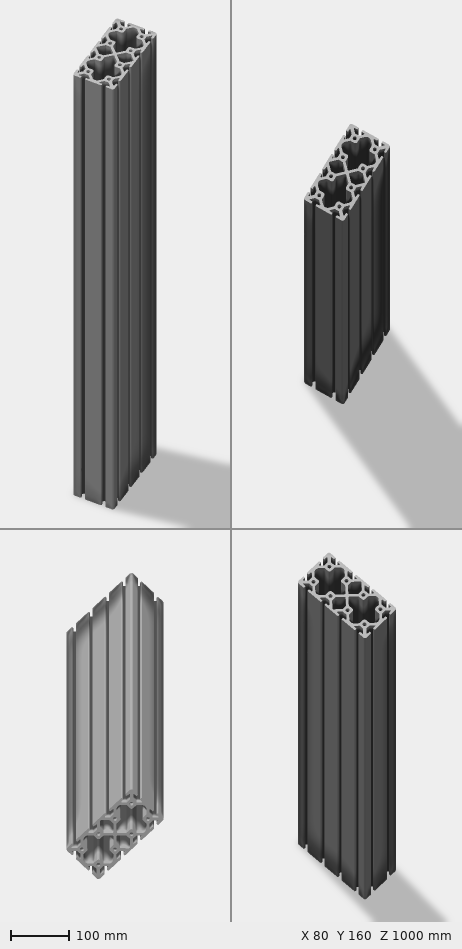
import cadquery as cq
import math

columns = 2
rows = 4
module = 40.0
length = 1000.0
corner_radius = 4.0

mouth_width = 8.0
mouth_radius = 1.5
inner_mouth_radius = 0.5
lip_edge_thickness = 4.0
lip_root_thickness = 4.5
slot_width = 21.0

core_width = 15.6
core_corner_radius = 4.0
bore_diameter = 6.8
web_thickness = 4.8
corner_web_thickness = 6.0

large_chamber_radius = 8.0
small_chamber_radius = 2.0
crossing_radius = 2.0

width_x = columns * module
width_y = rows * module
slot_depth = (module - core_width) / 2
web_offset = web_thickness / math.sqrt(2)
slot_floor_half = core_width / 2 - web_offset
slot_side_depth = module / 2 - web_offset - slot_width / 2

column_places = [module * (i - (columns - 1) / 2) for i in range(columns)]
row_places = [module * (i - (rows - 1) / 2) for i in range(rows)]
cores = [(x, y) for x in column_places for y in row_places]
corner_cores = [(x, y) for x in column_places for y in (row_places[0], row_places[-1])]


def bar(size_x, size_y):
    """Full-length rectangular bar centred on the Z axis."""
    return cq.Workplane("XY").rect(size_x, size_y).extrude(length)


def turned(solid, angle):
    """The solid turned about the Z axis by an angle in degrees."""
    return solid.rotate((0, 0, 0), (0, 0, 1), angle)


def diamond(half_diagonal, x, y):
    """Full-length prism whose square section stands on its corner, centred on (x, y)."""
    h = half_diagonal
    section = cq.Workplane("XY").center(x, y).polyline([(h, 0), (0, h), (-h, 0), (0, -h)])
    return section.close().extrude(length)


def t_slot():
    """Slot that opens towards +Y, with its mouth centred on the origin."""
    mouth = mouth_width / 2
    half = slot_width / 2
    flare = mouth + mouth_radius
    slot = (
        cq.Workplane("XY")
        .moveTo(-flare, 0)
        .radiusArc((-mouth, -mouth_radius), mouth_radius)
        .lineTo(-mouth, -lip_edge_thickness)
        .lineTo(-half, -lip_root_thickness)
        .lineTo(-half, -slot_side_depth)
        .lineTo(-slot_floor_half, -slot_depth)
        .lineTo(slot_floor_half, -slot_depth)
        .lineTo(half, -slot_side_depth)
        .lineTo(half, -lip_root_thickness)
        .lineTo(mouth, -lip_edge_thickness)
        .lineTo(mouth, -mouth_radius)
        .radiusArc((flare, 0), mouth_radius)
        .close()
        .extrude(length)
    )
    for x in (-mouth, mouth):
        inner_edge = cq.selectors.NearestToPointSelector((x, -lip_edge_thickness, length / 2))
        slot = slot.edges("|Z").edges(inner_edge).fillet(inner_mouth_radius)
    return slot


def placed_slots():
    """T-slots on all four sides of the outline."""
    slot = t_slot()
    slots = []
    for x in column_places:
        slots.append(slot.translate((x, width_y / 2, 0)))
        slots.append(turned(slot, 180).translate((x, -width_y / 2, 0)))
    for y in row_places:
        slots.append(turned(slot, 90).translate((-width_x / 2, y, 0)))
        slots.append(turned(slot, -90).translate((width_x / 2, y, 0)))
    return slots


def chambers():
    """Two large and two small hollow chambers between the diagonal webs, clear of the cores."""
    large = diamond(module - web_offset, 0, module)
    large = large.edges("|Z and (>X or <X or >Y)").fillet(large_chamber_radius)
    large = large.edges("|Z and <Y").fillet(crossing_radius)
    small = diamond(module / 2 - web_offset, module / 2, 0)
    small = small.edges("|Z and >X").fillet(small_chamber_radius)
    small = small.edges("|Z and <X").fillet(crossing_radius)
    hollow = large.union(large.mirror("XZ")).union(small).union(small.mirror("YZ"))
    core = bar(core_width, core_width).edges("|Z").fillet(core_corner_radius)
    for x, y in cores:
        hollow = hollow.cut(core.translate((x, y, 0)))
    return hollow


def corner_web(x, y):
    """Diagonal web from the corner core at (x, y) out towards its corner of the outline."""
    reach = module / math.sqrt(2)
    angle = math.degrees(math.atan2(math.copysign(1, y), math.copysign(1, x)))
    web = bar(reach, corner_web_thickness).translate((reach / 2, 0, 0))
    return turned(web, angle).translate((x, y, 0))


outline = bar(width_x, width_y).edges("|Z").fillet(corner_radius)
body = outline.cut(chambers())
for slot in placed_slots():
    body = body.cut(slot)
for x, y in corner_cores:
    body = body.union(corner_web(x, y).intersect(outline))
bores = cq.Workplane("XY").pushPoints(cores).circle(bore_diameter / 2).extrude(length)
result = body.cut(bores).solids()